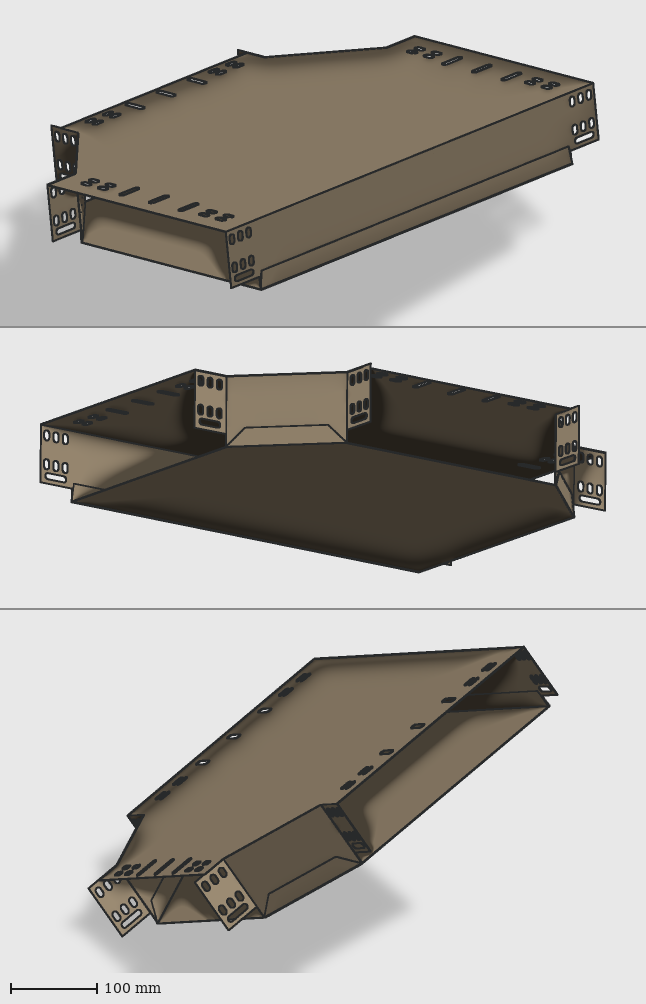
import cadquery as cq
import math


run_length = 592.0
tray_width = 301.5
corner_run = 100.0
sheet = 0.9
wall_height = 85.0
joint_height = 70.0
base_setback = 16.0
lip_height = 22.0
lip_end_inset = 3.0

slot_width = 7.5
base_slot_length = 14.5
tab_slot_length = 12.0
long_slot_length = 30.0
long_slot_pitch = 50.0
long_slot_from_end = 36.0
slot_row_from_end = 33.5
slot_row_pitch = 12.0
slot_pair_inner = 85.0
slot_pair_outer = 113.0
tab_slot_from_end = 22.0
tab_slot_pitch = 13.5
tab_upper_row = 12.0
tab_lower_row = 47.0
tab_long_slot_depth = 61.0

roll_x = -28.78
pitch_y = 19.27
yaw_z = 61.22

outlet_half = tray_width / 2
corner_x = outlet_half + corner_run
run_half = run_length / 2
tab_length = run_half - corner_x
corner_y = tray_width + corner_run
outlet_y = corner_y + tab_length
mitre = sheet * math.tan(math.radians(22.5))
diagonal_offset = sheet * math.sqrt(2)
cover_z = -wall_height


def mirrored(right_half):
    """Close a half outline, listed from bottom to top at X > 0, with its mirror image."""
    return right_half + [(-x, y) for x, y in reversed(right_half)]


def prism(outline, height, z_bottom):
    return cq.Workplane("XY").workplane(offset=z_bottom).polyline(outline).close().extrude(height)


def base_sheet():
    outline = mirrored([
        (run_half, 0),
        (run_half, tray_width),
        (corner_x, tray_width),
        (outlet_half, corner_y),
        (outlet_half, outlet_y - base_setback),
    ])
    return prism(outline, sheet, -sheet)


def straight_wall():
    """Wall opposite the outlet, with a shallower coupling tab at each end."""
    profile = mirrored([
        (corner_x, -wall_height),
        (corner_x, -joint_height),
        (run_half, -joint_height),
        (run_half, 0),
    ])
    return cq.Workplane("XZ").polyline(profile).close().extrude(-sheet)


def corner_wall():
    """Bent wall at X > 0: run tab, 45 degree corner and outlet tab."""
    outline = [
        (run_half, tray_width),
        (corner_x, tray_width),
        (outlet_half, corner_y),
        (outlet_half, outlet_y),
        (outlet_half - sheet, outlet_y),
        (outlet_half - sheet, corner_y - mitre),
        (corner_x - mitre, tray_width - sheet),
        (run_half, tray_width - sheet),
    ]
    wall = prism(outline, wall_height, -wall_height)
    trim_depth = wall_height - joint_height
    run_trim = cq.Workplane("XY").box(tab_length, 2 * sheet, trim_depth, centered=(False, True, False))
    outlet_trim = cq.Workplane("XY").box(2 * sheet, tab_length, trim_depth, centered=(True, False, False))
    wall = wall.cut(run_trim.translate((corner_x, tray_width - sheet / 2, -wall_height)))
    return wall.cut(outlet_trim.translate((outlet_half - sheet / 2, corner_y, -wall_height)))


def opening_slots():
    """Base slots for an opening whose edge middle is the origin, with the base at Y > 0."""
    pair_places = [
        (side * across, row)
        for side in (-1, 1)
        for across in (slot_pair_inner, slot_pair_outer)
        for row in (slot_row_from_end - slot_row_pitch / 2, slot_row_from_end + slot_row_pitch / 2)
    ]
    long_places = [(i * long_slot_pitch, long_slot_from_end) for i in (-1, 0, 1)]
    plane = cq.Workplane("XY").workplane(offset=-2 * sheet)
    short = plane.pushPoints(pair_places).slot2D(base_slot_length, slot_width).extrude(3 * sheet)
    long = plane.pushPoints(long_places).slot2D(long_slot_length, slot_width, 90).extrude(3 * sheet)
    return short.union(long)


def tab_slots():
    """Slots of a coupling tab in the XZ plane, its open end at the origin and the tab at X > 0."""
    places = [
        (tab_slot_from_end + i * tab_slot_pitch, -depth)
        for i in (-1, 0, 1)
        for depth in (tab_upper_row, tab_lower_row)
    ]
    plane = cq.Workplane("XZ").workplane(offset=-2 * sheet)
    short = plane.pushPoints(places).slot2D(tab_slot_length, slot_width, 90).extrude(4 * sheet)
    long = (
        plane.center(tab_slot_from_end, -tab_long_slot_depth)
        .slot2D(long_slot_length, slot_width)
        .extrude(4 * sheet)
    )
    return short.union(long)


def turned(body, angle, x, y):
    return body.rotate((0, 0, 0), (0, 0, 1), angle).translate((x, y, 0))


def make_tray():
    corner = corner_wall()
    tray = base_sheet().union(straight_wall()).union(corner).union(corner.mirror("YZ"))

    holes = opening_slots()
    tray = tray.cut(turned(holes, -90, -run_half, tray_width / 2))
    tray = tray.cut(turned(holes, 90, run_half, tray_width / 2))
    tray = tray.cut(turned(holes, 180, 0, outlet_y))

    holes = tab_slots()
    for y in (0, tray_width):
        tray = tray.cut(turned(holes, 0, -run_half, y))
        tray = tray.cut(turned(holes, 180, run_half, y))
    for x in (-outlet_half, outlet_half):
        tray = tray.cut(turned(holes, -90, x, outlet_y))
    return tray


def lip(half_length, end_inset):
    """Trapezoid strip on the XZ plane, centred on X, standing up from the cover to Y < 0."""
    profile = mirrored([(half_length, cover_z), (half_length - end_inset, cover_z + lip_height)])
    return cq.Workplane("XZ").polyline(profile).close().extrude(sheet)


def make_cover():
    """Flat cover with lips around the straight wall and the two corner walls."""
    outline = mirrored([
        (corner_x, -sheet),
        (corner_x, tray_width + diagonal_offset),
        (outlet_half + diagonal_offset, corner_y),
    ])
    cover = prism(outline, sheet, cover_z - sheet).union(lip(corner_x, lip_end_inset))

    corner_lip = lip(corner_run / math.sqrt(2), lip_height)
    middle_x = outlet_half + corner_run / 2
    middle_y = tray_width + corner_run / 2
    cover = cover.union(turned(corner_lip, 135, middle_x, middle_y))
    return cover.union(turned(corner_lip, -135, -middle_x, middle_y))


def oriented(body):
    origin = (0, 0, 0)
    body = body.rotate(origin, (1, 0, 0), roll_x)
    body = body.rotate(origin, (0, 1, 0), pitch_y)
    return body.rotate(origin, (0, 0, 1), yaw_z)


tray = oriented(make_tray())
cover = oriented(make_cover())

result = cq.Compound.makeCompound([tray.val(), cover.val()])